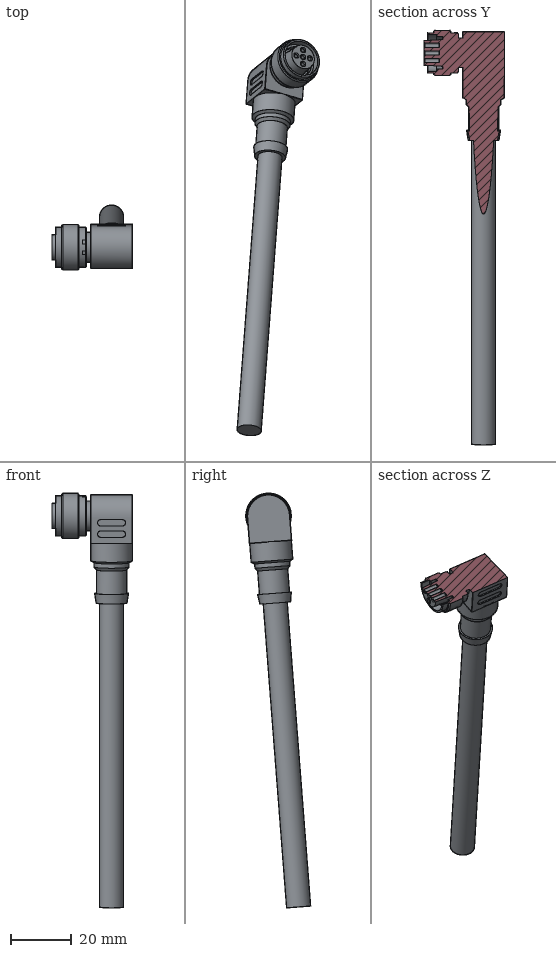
import math

import cadquery as cq

cable_tilt = 4.4
cable_end_z = -128.75

housing_radius = 7.0
housing_half_length = 6.9
housing_bottom = -8.6
housing_chamfer = 0.15
collar_radius = housing_half_length
collar_bottom = -14.75

grip_length = 9.2
grip_height = 2.1
grip_depth = 0.5
grip_heights = (-1.75, -5.5)

ring_radius = 5.8
ring_top = -15.4
ring_bottom = -16.8
sleeve_radius = 5.0
sleeve_top = -17.8
lip_radius = 5.6
lip_top = -25.5
lip_bottom = -28.7
lip_end_radius = 5.1
cable_radius = 4.0

face_x = -19.58
insert_face_radius = 4.15
insert_base_radius = 4.5
rim_x = -18.4
rim_radius = 6.65
rim_bore_radius = 6.0
rim_bore_depth = 3.0
recess_radius = 5.25
recess_depth = 5.0
nut_front_x = -16.4
nut_rear_x = -10.7
nut_radius = 7.5
nut_chamfer = 0.4
flange_rear_x = -8.2
flange_radius = 6.65
flange_chamfer = 0.4
neck_radius = 4.95

rib_offsets_y = (-1.8, 1.8)
rib_width = 1.3
rib_radius = 6.85
rib_front_x = -9.6
rib_rear_x = flange_rear_x - flange_chamfer

contact_radius = 0.6
countersink_radius = 0.95
contact_circle_radius = 2.5
contact_depth = 5.0
outer_contacts = 4


def cylinder_x(radius, start_x, end_x):
    return cq.Workplane("YZ").workplane(offset=start_x).circle(radius).extrude(end_x - start_x)


def make_housing():
    barrel = cylinder_x(housing_radius, -housing_half_length, housing_half_length)
    block = cq.Workplane("XY").box(
        2 * housing_half_length, 2 * housing_radius, -housing_bottom, centered=(True, True, False)
    )
    housing = barrel.union(block.translate((0, 0, housing_bottom)))
    return housing.faces("<X or >X").chamfer(housing_chamfer)


def cut_grips(housing):
    for side in (-1, 1):
        for height in grip_heights:
            grip = (
                cq.Workplane("XZ")
                .center(0, height)
                .slot2D(grip_length, grip_height)
                .extrude(grip_depth, both=True)
                .translate((0, side * housing_radius, 0))
            )
            housing = housing.cut(grip)
    return housing


def make_cable_side():
    tilt = math.radians(cable_tilt)
    cable_end = (cable_end_z + cable_radius * math.sin(tilt)) / math.cos(tilt)
    profile = (
        cq.Workplane("XZ")
        .lineTo(collar_radius, 0)
        .lineTo(collar_radius, collar_bottom)
        .lineTo(ring_radius, ring_top)
        .lineTo(ring_radius, ring_bottom)
        .lineTo(sleeve_radius, sleeve_top)
        .lineTo(sleeve_radius, lip_top)
        .lineTo(lip_radius, lip_top)
        .lineTo(lip_end_radius, lip_bottom)
        .lineTo(cable_radius, lip_bottom)
        .lineTo(cable_radius, cable_end)
        .lineTo(0, cable_end)
        .close()
    )
    return profile.revolve(360, (0, 0, 0), (0, 1, 0))


def make_insert():
    """Contact carrier, slightly tapered from the recess floor to the plug face."""
    base_x = rim_x + recess_depth
    profile = (
        cq.Workplane("XY")
        .moveTo(face_x, 0)
        .lineTo(face_x, insert_face_radius)
        .lineTo(base_x, insert_base_radius)
        .lineTo(base_x, 0)
        .close()
    )
    return profile.revolve(360, (0, 0, 0), (1, 0, 0))


def make_plug():
    rim = cylinder_x(rim_radius, rim_x, nut_front_x)
    rim_bore = cylinder_x(rim_bore_radius, rim_x, rim_x + rim_bore_depth)
    recess = cylinder_x(recess_radius, rim_x, rim_x + recess_depth)
    nut = cylinder_x(nut_radius, nut_front_x, nut_rear_x).edges().chamfer(nut_chamfer)
    flange = cylinder_x(flange_radius, nut_rear_x, flange_rear_x).faces(">X").chamfer(flange_chamfer)
    neck = cylinder_x(neck_radius, flange_rear_x, 0)
    shell = rim.union(nut).cut(rim_bore).cut(recess)
    plug = shell.union(make_insert()).union(flange).union(neck)
    return plug.union(make_ribs())


def make_ribs():
    length = rib_rear_x - rib_front_x
    disc = cylinder_x(rib_radius, rib_front_x, rib_rear_x)
    strips = cq.Workplane("XY")
    for offset_y in rib_offsets_y:
        strip = cq.Workplane("XY").box(length, rib_width, rib_radius, centered=(False, True, False))
        strips = strips.add(strip.translate((rib_front_x, offset_y, 0)))
    return strips.combine().intersect(disc)


def make_contact_cutter():
    """Hole with a 90 degree countersink at the plug face, on the plug axis."""
    countersink_end = face_x + countersink_radius - contact_radius
    profile = (
        cq.Workplane("XY")
        .moveTo(face_x, 0)
        .lineTo(face_x, countersink_radius)
        .lineTo(countersink_end, contact_radius)
        .lineTo(face_x + contact_depth, contact_radius)
        .lineTo(face_x + contact_depth, 0)
        .close()
    )
    return profile.revolve(360, (0, 0, 0), (1, 0, 0))


def cut_contacts(plug):
    cutter = make_contact_cutter()
    plug = plug.cut(cutter)
    for index in range(outer_contacts):
        angle = 2 * math.pi * index / outer_contacts
        offset_y = contact_circle_radius * math.cos(angle)
        offset_z = contact_circle_radius * math.sin(angle)
        plug = plug.cut(cutter.translate((0, offset_y, offset_z)))
    return plug


angled_side = cut_grips(make_housing().union(make_cable_side()))
angled_side = angled_side.rotate((0, 0, 0), (1, 0, 0), cable_tilt)
result = cut_contacts(make_plug()).union(angled_side)